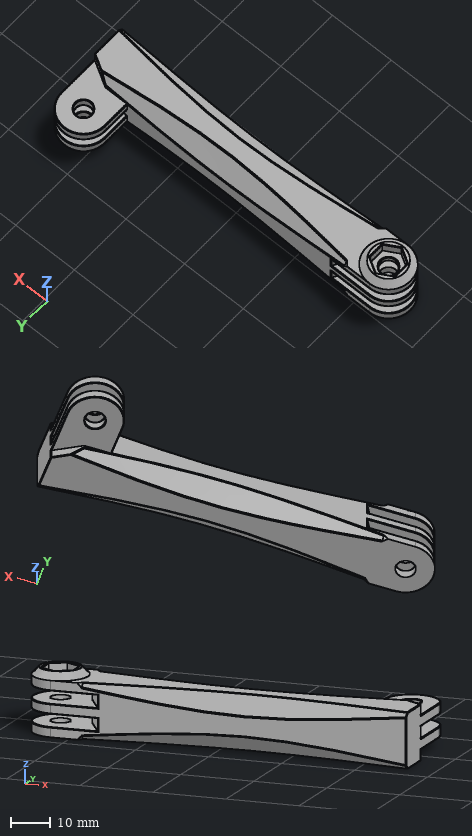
import cadquery as cq
import math

length = 105.0
total_depth = 31.0
total_height = 17.0

bar = 15.0
end_radius = bar / 2
pivot_hole = 5.2
fork_pivot = (end_radius, end_radius)
ear_pivot = (length - end_radius, total_depth - end_radius)

fork_finger = 2.7
slot_height = (bar - 3 * fork_finger) / 2
slot_bottoms = (fork_finger, 2 * fork_finger + slot_height)
ear_thickness = 2.9
root_angle = 30.0
root_rise = end_radius * math.tan(math.radians(root_angle))
root_distance = 8.7

edge_break = 0.2

cap_height = total_height - bar
nut_flats = 8.5
nut_depth = 3.2

chamfer_end_leg = 1.2
chamfer_mid_leg = 4.8
chamfer_tip_x = 14.9
chamfer_start_x = chamfer_tip_x + chamfer_end_leg
chamfer_mid_x = (chamfer_start_x + length) / 2
chamfer_end_slope = 0.085


def make_bar():
    """Square bar, rounded at -X and bevelled at the corner beside the ears."""
    return (
        cq.Workplane("XY")
        .moveTo(end_radius, 0)
        .lineTo(length, 0)
        .lineTo(length, bar - root_rise)
        .lineTo(ear_pivot[0], bar)
        .lineTo(end_radius, bar)
        .threePointArc((0, end_radius), (end_radius, 0))
        .close()
        .extrude(bar)
    )


def make_edge_cutter():
    """Prism that hollows the edge along y = 0, z = 0."""
    end_depth = chamfer_end_leg / math.sqrt(2)
    mid_depth = chamfer_mid_leg / math.sqrt(2)
    cutter = (
        cq.Workplane("XY")
        .workplane(offset=-bar / 2)
        .moveTo(chamfer_tip_x, 0)
        .lineTo(chamfer_start_x, end_depth)
        .spline(
            [(chamfer_mid_x, mid_depth), (length, end_depth)],
            tangents=[(1, chamfer_end_slope), (1, 0), (1, -chamfer_end_slope)],
            includeCurrent=True,
        )
        .lineTo(length, -bar)
        .lineTo(chamfer_tip_x, -bar)
        .close()
        .extrude(bar)
    )
    return cutter.rotate((0, 0, 0), (1, 0, 0), 45)


def hollow_edges(body):
    """Cut the four hollow chamfers, then break their borders and the +X end."""
    cutter = make_edge_cutter()
    axis_start = (0, bar / 2, bar / 2)
    axis_end = (1, bar / 2, bar / 2)
    for turn in range(4):
        body = body.cut(cutter.rotate(axis_start, axis_end, 90 * turn))
    tilt = math.radians(root_angle)
    bevel_normal = cq.Vector(math.sin(tilt), math.cos(tilt), 0)
    bevel = body.faces(cq.selectors.DirectionMinMaxSelector(bevel_normal))
    hollow_borders = body.edges("%BSPLINE").vals()
    end_edges = body.faces(">X").edges().vals() + bevel.edges().vals()
    return body.newObject(hollow_borders + end_edges).chamfer(edge_break)


def make_slot(bottom):
    """Fork slot whose root is a ridge pointing toward the pivot."""
    ridge_x = fork_pivot[0] + root_distance
    return (
        cq.Workplane("XY")
        .workplane(offset=bottom)
        .polyline([
            (0, 0),
            (ridge_x + root_rise, 0),
            (ridge_x, bar / 2),
            (ridge_x + root_rise, bar),
            (0, bar),
        ])
        .close()
        .extrude(slot_height)
    )


def make_ear(slot_bottom):
    """Drilled, rounded ear level with the middle of a fork slot, rooted inside the bar."""
    bottom = slot_bottom + (slot_height - ear_thickness) / 2
    root_y = bar / 2
    ear = (
        cq.Workplane("XY")
        .workplane(offset=bottom)
        .moveTo(length - bar, root_y)
        .lineTo(length, root_y)
        .lineTo(length, ear_pivot[1])
        .threePointArc((ear_pivot[0], total_depth), (length - bar, ear_pivot[1]))
        .close()
        .extrude(ear_thickness)
    )
    return ear.cut(make_pivot_hole(ear_pivot)).faces("|Z").edges().chamfer(edge_break)


def make_cap():
    """45 degree cone frustum on top of the fork."""
    return (
        cq.Workplane("XY")
        .workplane(offset=bar)
        .center(*fork_pivot)
        .circle(end_radius)
        .extrude(cap_height, taper=45)
    )


def make_pivot_hole(pivot):
    """Through hole on a vertical pivot axis."""
    return cq.Workplane("XY").center(*pivot).circle(pivot_hole / 2).extrude(total_height)


def make_nut_pocket():
    """Hexagonal pocket with two flats facing -X and +X."""
    across_corners = nut_flats / math.cos(math.radians(30))
    return (
        cq.Workplane("XY")
        .workplane(offset=total_height - nut_depth)
        .polygon(6, across_corners)
        .extrude(nut_depth)
        .rotate((0, 0, 0), (0, 0, 1), 30)
        .translate((fork_pivot[0], fork_pivot[1], 0))
    )


def cut_nut_seat(body):
    """Cut the nut pocket and the fork pivot hole, and break their rims."""
    body = body.cut(make_nut_pocket())
    body = body.faces(">Z").edges("%LINE").chamfer(edge_break)
    body = body.cut(make_pivot_hole(fork_pivot))
    floor_centre = (*fork_pivot, total_height - nut_depth)
    return body.edges("%CIRCLE").edges(cq.NearestToPointSelector(floor_centre)).chamfer(edge_break)


def cut_slot(body, bottom):
    """Cut one fork slot and break its convex edges, leaving the root corners sharp."""
    top = bottom + slot_height
    ridge_x = fork_pivot[0] + root_distance
    body = body.cut(make_slot(bottom))
    finger_zone = cq.selectors.BoxSelector(
        (-edge_break, -edge_break, bottom - edge_break),
        (ridge_x, bar + edge_break, top + edge_break),
    )
    mouth_zone = cq.selectors.BoxSelector(
        (ridge_x + edge_break, -edge_break, bottom),
        (ridge_x + root_rise + edge_break, bar + edge_break, top),
    )
    finger_edges = body.edges("#Z").edges(finger_zone).vals()
    mouth_edges = body.edges("|Z").edges(mouth_zone).vals()
    return body.newObject(finger_edges + mouth_edges).chamfer(edge_break)


body = hollow_edges(make_bar()).union(make_cap())
body = cut_nut_seat(body)
for slot_bottom in slot_bottoms:
    body = cut_slot(body, slot_bottom)
for slot_bottom in slot_bottoms:
    body = body.union(make_ear(slot_bottom))

result = body